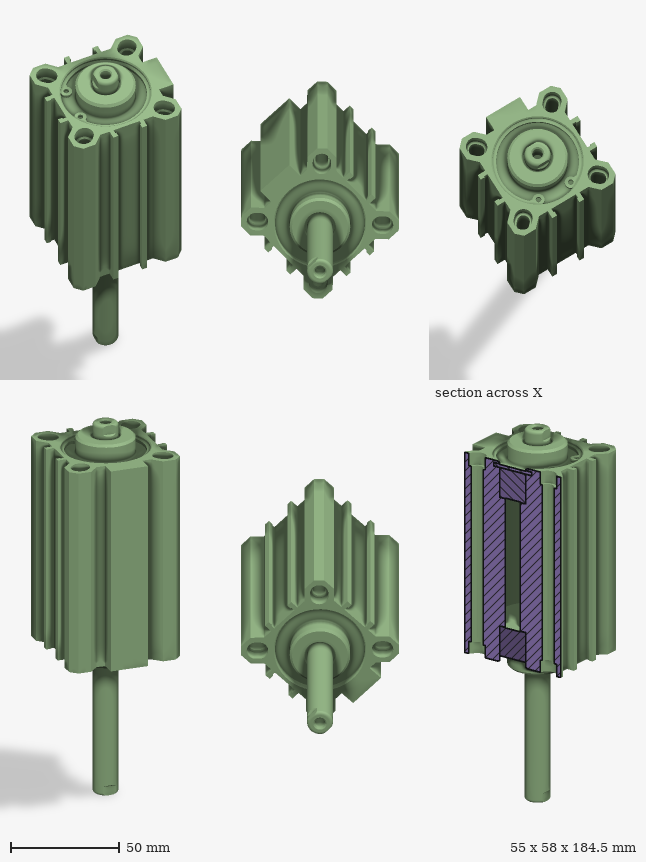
import cadquery as cq
import math

total_length = 184.5
lower_rod_length = 66.6
collar_height = 5.9
housing_length = 99.6
housing_bottom = lower_rod_length + collar_height
housing_top = housing_bottom + housing_length
upper_collar_top = housing_top + collar_height

corner_reach = 27.5
wall_reach = 23.0
corner_chamfer = 3.3
post_inner = 17.9
post_root = post_inner - (corner_reach - wall_reach)
block_half_width = 9.2
block_reach = 30.5

rail_outer = 8.7
rail_lip = 6.0
rail_stem = 6.6
rail_reach = 27.1
lip_thickness = 2.2
rail_side_angles = (0, 180, 270)

hole_offset = 20.5
hole_width = 5.9
counterbore_width = 8.5
slot_stretch = 1.5
counterbore_depth = 6.0
post_angles = (45, 135, 225, 315)

bore_diameter = 40.0
seat_diameter = 41.7
mouth_chamfer = 0.5
cover_depth = 3.0
cover_thickness = 14.8
collar_diameter = 28.0
collar_chamfer = 1.1
collar_fillet = 0.7
rod_gap_diameter = 13.7
rod_gap_depth = 1.8
rod_gap_chamfer = 0.5

ring_outer_diameter = 44.6
ring_inner_diameter = 38.4
ring_thickness = 1.5
lug_radius = 2.8
lug_hole_diameter = 2.5
lug_circle_radius = 18.3
lug_half_angle = 27.9
lug_web_reach = 13.0
lug_web_top = -14.5
lug_web_height = 2.2
ring_turn = -2.3

rod_diameter = 12.0
rod_end_fillet = 1.5
flat_width = 10.1
flat_length = 4.6
flat_run_out = 0.7
thread_diameter = 5.0
thread_mouth_diameter = 6.3
thread_depth = 11.0


def cylinder(diameter, bottom, height):
    return cq.Workplane("XY").workplane(offset=bottom).circle(diameter / 2).extrude(height)


def revolve_profile(points):
    """Turn a half section, given as (radius, height) points, about the Z axis."""
    return cq.Workplane("XZ").polyline(points).close().revolve(360, (0, 0, 0), (0, 1, 0))


def extrude_outline(points):
    return cq.Workplane("XY").workplane(offset=housing_bottom).polyline(points).close().extrude(housing_length)


def diagonal_slot(angle, width, bottom, height):
    radius = hole_offset * math.sqrt(2)
    return (
        cq.Workplane("XY")
        .workplane(offset=bottom)
        .transformed(rotate=(0, 0, angle))
        .center(radius, 0)
        .slot2D(width + slot_stretch, width)
        .extrude(height)
    )


def mouth_cone(end):
    """Chamfer of a cover seat at one end of the housing."""
    inward = mouth_chamfer if end == housing_bottom else -mouth_chamfer
    seat_radius = seat_diameter / 2
    return revolve_profile([
        (0, end),
        (seat_radius + mouth_chamfer, end),
        (seat_radius, end + inward),
        (0, end + inward),
    ])


def make_post_outline():
    """Square outline with a chamfered post on each corner."""
    corner = [
        (wall_reach, post_root),
        (corner_reach, post_inner),
        (corner_reach, corner_reach - corner_chamfer),
        (corner_reach - corner_chamfer, corner_reach),
        (post_inner, corner_reach),
        (post_root, wall_reach),
    ]
    outline = []
    for _ in post_angles:
        outline += corner
        corner = [(-y, x) for x, y in corner]
    return outline


def make_rail_pair():
    """Two hooked rails on the +X side, lips facing each other."""
    rail = extrude_outline([
        (wall_reach, rail_outer),
        (rail_reach, rail_outer),
        (rail_reach, rail_lip),
        (rail_reach - lip_thickness, rail_lip),
        (rail_reach - lip_thickness, rail_stem),
        (wall_reach, rail_stem),
    ])
    return rail.union(rail.mirror("XZ"))


def make_housing():
    body = extrude_outline(make_post_outline())
    rail_pair = make_rail_pair()
    for angle in rail_side_angles:
        body = body.union(rail_pair.rotate((0, 0, 0), (0, 0, 1), angle))
    body = body.union(extrude_outline([
        (-block_half_width, 0),
        (block_half_width, 0),
        (block_half_width, block_reach),
        (-block_half_width, block_reach),
    ]))

    for angle in post_angles:
        body = body.cut(diagonal_slot(angle, hole_width, housing_bottom, housing_length))
        for bottom in (housing_bottom, housing_top - counterbore_depth):
            body = body.cut(diagonal_slot(angle, counterbore_width, bottom, counterbore_depth))

    seat_depth = cover_depth + cover_thickness
    body = body.cut(cylinder(bore_diameter, housing_bottom, housing_length))
    body = body.cut(cylinder(seat_diameter, housing_bottom, seat_depth))
    body = body.cut(cylinder(seat_diameter, housing_top - seat_depth, seat_depth))
    for end in (housing_bottom, housing_top):
        body = body.cut(mouth_cone(end))
    ring_groove = cylinder(ring_outer_diameter, housing_top - cover_depth, ring_thickness)
    return body.cut(ring_groove)


def make_upper_cover():
    flange_top = housing_top - cover_depth
    flange_bottom = flange_top - cover_thickness
    rod_gap_bottom = upper_collar_top - rod_gap_depth
    rod_radius = rod_diameter / 2
    seat_radius = seat_diameter / 2
    collar_radius = collar_diameter / 2
    rod_gap_radius = rod_gap_diameter / 2
    half_section = (
        cq.Workplane("XZ")
        .moveTo(rod_radius, flange_bottom)
        .lineTo(seat_radius, flange_bottom)
        .lineTo(seat_radius, flange_top)
        .lineTo(collar_radius + collar_fillet, flange_top)
        .radiusArc((collar_radius, flange_top + collar_fillet), collar_fillet)
        .lineTo(collar_radius, upper_collar_top - collar_chamfer)
        .lineTo(collar_radius - collar_chamfer, upper_collar_top)
        .lineTo(rod_gap_radius + rod_gap_chamfer, upper_collar_top)
        .lineTo(rod_gap_radius, upper_collar_top - rod_gap_chamfer)
        .lineTo(rod_gap_radius, rod_gap_bottom)
        .lineTo(rod_radius, rod_gap_bottom)
        .close()
    )
    return half_section.revolve(360, (0, 0, 0), (0, 1, 0))


def make_retaining_ring():
    bottom = housing_top - cover_depth
    ring = cylinder(ring_outer_diameter, bottom, ring_thickness)
    ring = ring.cut(cylinder(ring_inner_diameter, bottom, ring_thickness))
    gap_x = ring_outer_diameter * math.tan(math.radians(lug_half_angle))
    gap = (
        cq.Workplane("XY").workplane(offset=bottom)
        .polyline([(0, 0), (gap_x, -ring_outer_diameter), (-gap_x, -ring_outer_diameter)])
        .close().extrude(ring_thickness)
    )
    ring = ring.cut(gap)
    angle = math.radians(lug_half_angle)
    for side in (-1, 1):
        lug_x = side * lug_circle_radius * math.sin(angle)
        lug_y = -lug_circle_radius * math.cos(angle)
        ring = ring.union(cylinder(2 * lug_radius, bottom, ring_thickness).translate((lug_x, lug_y, 0)))
        web_width = lug_web_reach - abs(lug_x)
        web = cq.Workplane("XY").box(web_width, lug_web_height, ring_thickness).translate(
            (lug_x + side * web_width / 2, lug_web_top - lug_web_height / 2, bottom + ring_thickness / 2)
        )
        ring = ring.union(web)
        ring = ring.cut(cylinder(lug_hole_diameter, bottom, ring_thickness).translate((lug_x, lug_y, 0)))
    ring = ring.intersect(cylinder(ring_outer_diameter, bottom, ring_thickness))
    return ring.rotate((0, 0, 0), (0, 0, 1), ring_turn)


def rod_end_cut():
    """Material removed at the upper rod end: two wrench flats and a threaded hole."""
    radius = rod_diameter / 2
    flat = flat_width / 2
    flat_profile = [
        (flat, total_length),
        (flat, total_length - flat_length),
        (radius, total_length - flat_length - flat_run_out),
        (radius, total_length),
    ]
    flat_cut = cq.Workplane("YZ").polyline(flat_profile).close().extrude(radius, both=True)
    mouth_depth = (thread_mouth_diameter - thread_diameter) / 2
    hole_profile = [
        (0, total_length),
        (thread_mouth_diameter / 2, total_length),
        (thread_diameter / 2, total_length - mouth_depth),
        (thread_diameter / 2, total_length - thread_depth),
        (0, total_length - thread_depth),
    ]
    hole = revolve_profile(hole_profile)
    return flat_cut.union(flat_cut.mirror("XZ")).union(hole)


def make_rod():
    rod = cylinder(rod_diameter, 0, total_length).faces("<Z or >Z").edges().fillet(rod_end_fillet)
    upper_cut = rod_end_cut()
    lower_cut = upper_cut.mirror("XY", (0, 0, total_length / 2))
    return rod.cut(upper_cut).cut(lower_cut)


housing = make_housing()
upper_cover = make_upper_cover()
lower_cover = upper_cover.mirror("XY", (0, 0, (housing_bottom + housing_top) / 2))
retaining_ring = make_retaining_ring()
rod = make_rod()

result = cq.Compound.makeCompound(
    [housing.val(), upper_cover.val(), lower_cover.val(), retaining_ring.val(), rod.val()]
)